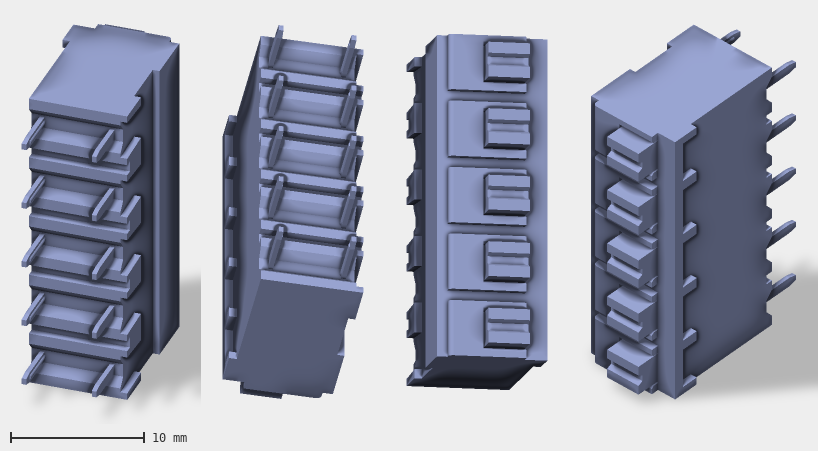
import cadquery as cq


POLES = 5
HEIGHT = 24.52
PITCH = 5.08
POLE_HEIGHT = HEIGHT - (POLES - 1) * PITCH
pole_centers = [POLE_HEIGHT / 2 + i * PITCH for i in range(POLES)]

WIDTH = 8.4
FLANGE_DEPTH = 0.6
FLANGE_FRONT = 9.12
SHOULDER_Y = 11.55
RIDGE_TOP = 12.24
RIDGE_LEFT = 1.72
RIDGE_RIGHT = 7.63
RIDGE_RADIUS = 0.37
RECESS_DEPTH = 0.55
RECESS_FRONT = 3.05
RECESS_BACK = 7.18
recess_x = WIDTH - RECESS_DEPTH

POCKET_BACK = 10.65
END_TAB = 0.65

FRONT_CUT_DEPTH = 0.61
CHANNEL_MOUTH = 2.45
CHANNEL_FLOOR = 1.08
NOTCH_FRONT_HEIGHT = 3.11
NOTCH_BACK_HEIGHT = 2.8

BUTTON_LEFT = 1.77
BUTTON_WIDTH = 3.15
BUTTON_HEIGHT = 2.65
BUTTON_TOP = 13.68
BUTTON_GROOVE_DEPTH = 0.45
BUTTON_GROOVE_MOUTH = 0.98
BUTTON_GROOVE_FLOOR = 0.55
BUTTON_GAP = 0.1
OPENING_CHAMFER = 0.2

PIN_CENTERS_X = (1.45, 7.01)
PIN_THICKNESS = 0.37
PIN_HEIGHT = 0.8
PIN_TIP_HEIGHT = 0.5
PIN_TIP_Y = -3.45
PIN_TAPER_Y = -2.72
BEAD_RADIUS = 0.2
BEAD_RISE = 0.1


def box(x_range, y_range, z_range):
    """Axis-aligned box between the given (low, high) limits."""
    ranges = (x_range, y_range, z_range)
    sizes = [high - low for low, high in ranges]
    corner = tuple(low for low, high in ranges)
    return cq.Workplane("XY").box(*sizes, centered=False).translate(corner)


def side_prism(points, x_start, x_end):
    """Extrude a (Y, Z) outline along X."""
    return cq.Workplane("YZ", origin=(x_start, 0, 0)).polyline(points).close().extrude(x_end - x_start)


def trapezoid(z_center, y_start, height_start, y_end, height_end):
    """(Y, Z) corners of a trapezoid that is symmetric about z_center."""
    return [
        (y_start, z_center - height_start / 2),
        (y_end, z_center - height_end / 2),
        (y_end, z_center + height_end / 2),
        (y_start, z_center + height_start / 2),
    ]


def housing_block():
    outline = (
        cq.Workplane("XY")
        .moveTo(FLANGE_DEPTH, 0)
        .lineTo(WIDTH, 0)
        .lineTo(WIDTH, RECESS_FRONT)
        .lineTo(recess_x, RECESS_FRONT)
        .lineTo(recess_x, RECESS_BACK)
        .lineTo(WIDTH, RECESS_BACK)
        .lineTo(WIDTH, SHOULDER_Y)
        .lineTo(RIDGE_RIGHT, SHOULDER_Y)
        .lineTo(RIDGE_RIGHT, RIDGE_TOP - RIDGE_RADIUS)
        .radiusArc((RIDGE_RIGHT - RIDGE_RADIUS, RIDGE_TOP), -RIDGE_RADIUS)
        .lineTo(RIDGE_LEFT, RIDGE_TOP)
        .lineTo(RIDGE_LEFT, SHOULDER_Y)
        .lineTo(0, SHOULDER_Y)
        .lineTo(0, FLANGE_FRONT)
        .lineTo(FLANGE_DEPTH, FLANGE_FRONT)
        .close()
    )
    return outline.extrude(HEIGHT)


def flange_pocket(z_center):
    bottom = max(z_center - POLE_HEIGHT / 2, END_TAB)
    top = min(z_center + POLE_HEIGHT / 2, HEIGHT - END_TAB)
    return box((0, FLANGE_DEPTH), (FLANGE_FRONT, POCKET_BACK), (bottom, top))


def pin_channel(z_center):
    profile = trapezoid(z_center, 0, CHANNEL_MOUTH, FRONT_CUT_DEPTH, CHANNEL_FLOOR)
    return side_prism(profile, FLANGE_DEPTH, recess_x)


def corner_notch(z_center):
    """Tapered opening from the pin side into the recess in the right wall."""
    profile = trapezoid(z_center, 0, NOTCH_FRONT_HEIGHT, RECESS_FRONT, NOTCH_BACK_HEIGHT)
    return side_prism(profile, recess_x, WIDTH)


def button_opening(z_center):
    """Slot across the ridge with chamfered outer edges, open on the left."""
    x_end = BUTTON_LEFT + BUTTON_WIDTH + BUTTON_GAP
    slot_height = BUTTON_HEIGHT + 2 * BUTTON_GAP
    mouth_height = slot_height + 2 * OPENING_CHAMFER
    chamfer_start = RIDGE_TOP - OPENING_CHAMFER
    slot = side_prism(
        trapezoid(z_center, SHOULDER_Y, slot_height, chamfer_start, slot_height), RIDGE_LEFT, x_end
    )
    mouth = side_prism(
        trapezoid(z_center, chamfer_start, slot_height, RIDGE_TOP, mouth_height), RIDGE_LEFT, x_end
    )
    return slot.union(mouth)


def pole_gap(z_bottom):
    """Grooves that separate neighbouring poles on the pin side and at the ridge."""
    z_range = (z_bottom, z_bottom + PITCH - POLE_HEIGHT)
    pin_side = box((FLANGE_DEPTH, WIDTH), (0, FRONT_CUT_DEPTH), z_range)
    ridge_side = box((RIDGE_LEFT, RIDGE_RIGHT), (SHOULDER_Y, RIDGE_TOP), z_range)
    return pin_side.union(ridge_side)


def button(z_center):
    """Push button with a screwdriver groove across its top."""
    x_end = BUTTON_LEFT + BUTTON_WIDTH
    body = side_prism(
        trapezoid(z_center, SHOULDER_Y, BUTTON_HEIGHT, BUTTON_TOP, BUTTON_HEIGHT), BUTTON_LEFT, x_end
    )
    groove_floor = BUTTON_TOP - BUTTON_GROOVE_DEPTH
    groove = side_prism(
        trapezoid(z_center, BUTTON_TOP, BUTTON_GROOVE_MOUTH, groove_floor, BUTTON_GROOVE_FLOOR),
        BUTTON_LEFT,
        x_end,
    )
    return body.cut(groove)


def pin(x_center, z_center):
    """Flat pin with a tapered tip, starting at the channel floor."""
    shaft = trapezoid(z_center, FRONT_CUT_DEPTH, PIN_HEIGHT, PIN_TAPER_Y, PIN_HEIGHT)
    tip = trapezoid(z_center, PIN_TAPER_Y, PIN_HEIGHT, PIN_TIP_Y, PIN_TIP_HEIGHT)
    x_left = x_center - PIN_THICKNESS / 2
    x_right = x_center + PIN_THICKNESS / 2
    blade = side_prism(shaft, x_left, x_right).union(side_prism(tip, x_left, x_right))
    inward = 1 if x_center < WIDTH / 2 else -1
    bead_x = x_center + inward * (PIN_THICKNESS / 2 + BEAD_RISE - BEAD_RADIUS)
    bead = (
        cq.Workplane("XZ", origin=(0, FRONT_CUT_DEPTH, 0))
        .center(bead_x, z_center)
        .circle(BEAD_RADIUS)
        .extrude(FRONT_CUT_DEPTH - PIN_TAPER_Y)
    )
    return blade.union(bead)


housing = housing_block()

for center in pole_centers:
    housing = housing.cut(flange_pocket(center))
    housing = housing.cut(pin_channel(center))
    housing = housing.cut(corner_notch(center))
    housing = housing.cut(button_opening(center))

for center in pole_centers[:-1]:
    housing = housing.cut(pole_gap(center + POLE_HEIGHT / 2))

for center in pole_centers:
    housing = housing.union(button(center))
    for pin_x in PIN_CENTERS_X:
        housing = housing.union(pin(pin_x, center))

result = housing